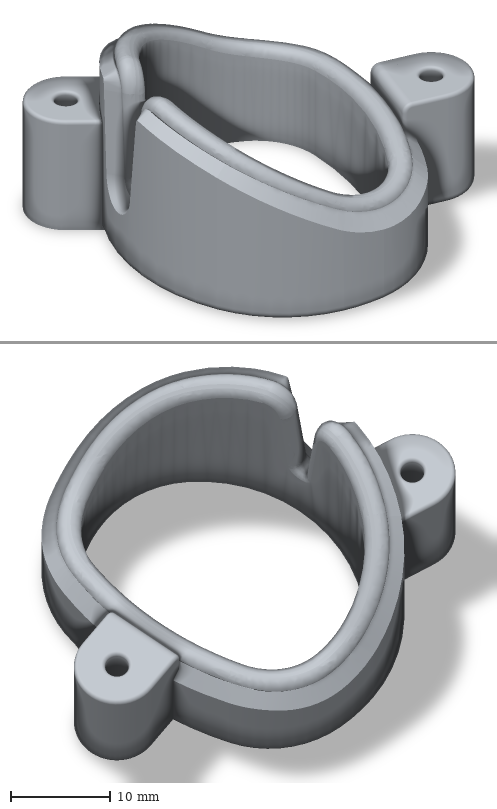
import cadquery as cq
import math

RING_HALF_WIDTH = 18.965
RING_REAR_Y = 14.4
RING_FRONT_Y = -16.8
REAR_RADIUS = 36.0
SIDE_RADIUS = 18.0
SIDE_ANGLE = 15.0
FRONT_SIDE_RADIUS = 15.5
WALL = 4.0
BOTTOM_ROUND = 0.9
BLANK_HEIGHT = 30.0

SHOULDER_WIDTH = 1.5
BEAD_HEIGHT = 1.0
BEAD_ROUND = 1.05
SHOULDER_CHAMFER = 1.5

DIP_Y, DIP_Z = 7.0, 10.92
DIP_RADIUS = 14.0
CREST_SLOPE = 30.0
SHOULDER_SLOPE = 27.7
REAR_ANGLE = 14.0
HUMP_RADIUS = 10.5
FRONT_REACH = 20.0

SLOT_TIP_RADIUS = 0.5
SLOT_TIP_Z = 7.95
SLOT_WALL_ANGLE = 6.3
SLOT_CORNER_RADIUS = 2.9
SLOT_START = 6.0
SLOT_CORNER_ZONE_MIN = (-5, -15, 15)
SLOT_CORNER_ZONE_MAX = (5, -8, 25)

LUG_RADIUS = 4.35
LUG_HEIGHT = 13.0
LUG_ROUND = 0.4
REAR_LUG_END_ROUND = 1.0
HOLE_DIAMETER = 2.38
HOLE_MOUTH_ROUND = 0.38
REAR_HOLE = (0, 17.8)
REAR_LUG_LENGTH = REAR_HOLE[1] - (RING_REAR_Y - SHOULDER_WIDTH)
FRONT_HOLE = (-10.46, -17.8)
FRONT_LUG_LENGTH = 6.0
FRONT_LUG_TILT = 22.5

CORE_RADIUS = 3.0
FRONT_CORE_SHORT_LENGTH = 1.95

SPAN = 60.0
MIN_RIM_Z = 1.0
TOLERANCE = 1e-3
BORE_CLEARANCE = 0.3


def degrees_point(center, radius, angle):
    """Point on a circle, the angle in degrees from the first axis."""
    a = math.radians(angle)
    return (center[0] + radius * math.cos(a), center[1] + radius * math.sin(a))


def mirrored(point):
    """The same point on the left half."""
    return (-point[0], point[1])


def point_beyond(center, other, radius):
    """Point at radius from center, on the line from other through center."""
    dx, dy = center[0] - other[0], center[1] - other[1]
    scale = radius / math.hypot(dx, dy)
    return (center[0] + dx * scale, center[1] + dy * scale)


def ring_prism(inset, height):
    """Solid inside the ring outline, its side moved inward by inset."""
    rear = (0, RING_REAR_Y - REAR_RADIUS)
    side = (RING_HALF_WIDTH - SIDE_RADIUS, 0)
    front_side = (RING_HALF_WIDTH - FRONT_SIDE_RADIUS, 0)

    front_depth = -RING_FRONT_Y
    front_radius = (front_depth**2 + front_side[0] ** 2 - FRONT_SIDE_RADIUS**2) / (
        2 * (front_depth - FRONT_SIDE_RADIUS)
    )
    front = (0, front_radius - front_depth)

    direction = degrees_point((0, 0), 1, SIDE_ANGLE)
    dx, dy = side[0] - rear[0], side[1] - rear[1]
    radius_step = REAR_RADIUS - SIDE_RADIUS
    shift = (dx**2 + dy**2 - radius_step**2) / (
        2 * (radius_step - direction[0] * dx - direction[1] * dy)
    )
    corner = degrees_point(side, shift, SIDE_ANGLE)
    corner_radius = SIDE_RADIUS - shift

    rear_top = (0, RING_REAR_Y - inset)
    rear_joint = point_beyond(corner, rear, corner_radius - inset)
    corner_joint = degrees_point(side, SIDE_RADIUS - inset, SIDE_ANGLE)
    widest = (RING_HALF_WIDTH - inset, 0)
    front_joint = point_beyond(front_side, front, FRONT_SIDE_RADIUS - inset)
    front_tip = (0, RING_FRONT_Y + inset)

    corner_start = math.degrees(math.atan2(rear_joint[1] - corner[1], rear_joint[0] - corner[0]))
    corner_mid = degrees_point(corner, corner_radius - inset, (corner_start + SIDE_ANGLE) / 2)
    side_mid = degrees_point(side, SIDE_RADIUS - inset, SIDE_ANGLE / 2)
    front_end = math.degrees(math.atan2(-front[1], front_side[0]))
    front_side_mid = degrees_point(front_side, FRONT_SIDE_RADIUS - inset, front_end / 2)

    return (
        cq.Workplane("XY")
        .moveTo(*mirrored(rear_joint))
        .threePointArc(rear_top, rear_joint)
        .threePointArc(corner_mid, corner_joint)
        .threePointArc(side_mid, widest)
        .threePointArc(front_side_mid, front_joint)
        .threePointArc(front_tip, mirrored(front_joint))
        .threePointArc(mirrored(front_side_mid), mirrored(widest))
        .threePointArc(mirrored(side_mid), mirrored(corner_joint))
        .threePointArc(mirrored(corner_mid), mirrored(rear_joint))
        .close()
        .extrude(height)
    )


def above_crest(drop, slope):
    """Everything above the crest line lowered by drop, as an extrusion along X."""
    dip_center = (DIP_Y, DIP_Z + DIP_RADIUS)
    dip_radius = DIP_RADIUS + drop
    hump_radius = HUMP_RADIUS - drop
    hump_center = degrees_point(dip_center, DIP_RADIUS + HUMP_RADIUS, REAR_ANGLE - 90)
    slope_start = degrees_point(dip_center, dip_radius, -90 - slope)
    dip_bottom = degrees_point(dip_center, dip_radius, -90)
    blend = degrees_point(dip_center, dip_radius, REAR_ANGLE - 90)
    hump_top = degrees_point(hump_center, hump_radius, 90)
    hump_end = degrees_point(hump_center, hump_radius, 90 - REAR_ANGLE)
    slope_rise = (slope_start[0] + FRONT_REACH) * math.tan(math.radians(slope))
    slope_end = (-FRONT_REACH, slope_start[1] + slope_rise)
    return (
        cq.Workplane("YZ")
        .moveTo(*slope_end)
        .lineTo(*slope_start)
        .threePointArc(dip_bottom, blend)
        .threePointArc(hump_top, hump_end)
        .lineTo(FRONT_REACH, hump_end[1])
        .lineTo(FRONT_REACH, SPAN)
        .lineTo(-FRONT_REACH, SPAN)
        .close()
        .extrude(SPAN / 2, both=True)
    )


def slot_cutter(widening):
    """V with a round tip, cut through the front wall along Y."""
    radius = SLOT_TIP_RADIUS + widening
    center = (0, SLOT_TIP_Z + SLOT_TIP_RADIUS)
    right_tangent = degrees_point(center, radius, -SLOT_WALL_ANGLE)
    wall_rise = BLANK_HEIGHT - right_tangent[1]
    top_x = right_tangent[0] + wall_rise * math.tan(math.radians(SLOT_WALL_ANGLE))
    return (
        cq.Workplane("XZ", origin=(0, -SLOT_START, 0))
        .moveTo(-top_x, BLANK_HEIGHT)
        .lineTo(-right_tangent[0], right_tangent[1])
        .threePointArc((0, center[1] - radius), right_tangent)
        .lineTo(top_x, BLANK_HEIGHT)
        .close()
        .extrude(FRONT_REACH - SLOT_START)
    )


def top_cutter(drop, slope):
    """Space above the crest together with the slot, rounded where the two meet."""
    crest_space = above_crest(drop, slope)
    front_half = cq.Workplane("XY").box(SPAN, FRONT_REACH - SLOT_START, 2 * SPAN)
    front_half = front_half.translate((0, -(FRONT_REACH + SLOT_START) / 2, 0))
    mouth = crest_space.intersect(front_half).union(slot_cutter(drop))
    mouth_edges = mouth.edges(cq.selectors.BoxSelector(SLOT_CORNER_ZONE_MIN, SLOT_CORNER_ZONE_MAX))
    return crest_space.union(mouth_edges.fillet(SLOT_CORNER_RADIUS - drop))


def wall_layer(outer_inset, inner_inset, drop, slope):
    """Band of the wall with shaped top and slot, both set back by drop from the crest."""
    band = ring_prism(outer_inset, BLANK_HEIGHT).cut(ring_prism(inner_inset, BLANK_HEIGHT))
    return band.cut(top_cutter(drop, slope), clean=False)


def rim_edges(band, inset):
    """Top edges of a band that lie on its upright face at the given inset."""
    wall_face = cq.Compound.makeCompound(ring_prism(inset, BLANK_HEIGHT).faces("not |Z").vals())

    def is_on_rim(edge):
        middle = cq.Vertex.makeVertex(*edge.positionAt(0.5).toTuple())
        return edge.BoundingBox().zmin > MIN_RIM_Z and middle.distance(wall_face) < TOLERANCE

    return band.edges("not |Z").filter(is_on_rim)


def make_ring():
    """Wall with a chamfered shoulder outside and a rounded bead along its crest."""
    bead = wall_layer(SHOULDER_WIDTH, WALL, 0, CREST_SLOPE)
    bead = rim_edges(bead, SHOULDER_WIDTH).add(rim_edges(bead, WALL)).fillet(BEAD_ROUND)
    shoulder = wall_layer(0, WALL - BORE_CLEARANCE, BEAD_HEIGHT, SHOULDER_SLOPE)
    shoulder = rim_edges(shoulder, 0).chamfer(SHOULDER_CHAMFER)
    return bead.union(round_bottom(shoulder))


def round_bottom(shoulder):
    """Round the outer bottom edge."""
    outer_bottom = shoulder.faces("<Z").wires(cq.selectors.LengthNthSelector(-1)).edges()
    return outer_bottom.fillet(BOTTOM_ROUND)


def tongue(radius, length):
    """Prism with a round end about the origin, its straight sides running along +Y."""
    return (
        cq.Workplane("XY")
        .moveTo(radius, 0)
        .lineTo(radius, length)
        .lineTo(-radius, length)
        .lineTo(-radius, 0)
        .threePointArc((0, -radius), (radius, 0))
        .close()
        .extrude(LUG_HEIGHT)
    )


def drill(lug):
    """Screw hole through a lug, its mouth rounded."""
    lug = lug.faces(">Z").workplane(origin=(0, 0, LUG_HEIGHT)).hole(HOLE_DIAMETER)
    mouth = lug.faces(">Z").edges("%CIRCLE").edges(cq.selectors.RadiusNthSelector(0))
    return mouth.fillet(HOLE_MOUTH_ROUND)


def place_rear(body):
    """Turn a body to point from the rear hole to the ring."""
    return body.rotate((0, 0, 0), (0, 0, 1), 180).translate((*REAR_HOLE, 0))


def place_front(body):
    """Turn a body to point from the front hole to the ring."""
    return body.rotate((0, 0, 0), (0, 0, 1), -FRONT_LUG_TILT).translate((*FRONT_HOLE, 0))


def make_rear_lug():
    """Lug with a free end above the ring shoulder."""
    lug = tongue(LUG_RADIUS, REAR_LUG_LENGTH)
    lug = lug.faces("<Z").edges("not >Y").fillet(BOTTOM_ROUND)
    lug = lug.edges(">Y and >Z").fillet(REAR_LUG_END_ROUND)
    lug = lug.faces(">Z").edges("not >Y").fillet(LUG_ROUND)
    return drill(lug)


def make_front_lug():
    """Lug whose end is buried in the ring wall."""
    lug = tongue(LUG_RADIUS, FRONT_LUG_LENGTH)
    lug = lug.faces(">Z").edges("not >Y").fillet(LUG_ROUND)
    return drill(lug)


def make_rear_core(lug):
    """Middle of the rear lug, reaching its free end."""
    return lug.intersect(place_rear(tongue(CORE_RADIUS, REAR_LUG_LENGTH)))


def make_front_core(lug):
    """Middle of the front lug: the left half stops short, the right half meets the ring's outer face."""
    left_notch = cq.Workplane("XY").rect(-SPAN, SPAN, centered=False).extrude(LUG_HEIGHT)
    left_notch = left_notch.translate((0, FRONT_CORE_SHORT_LENGTH, 0))
    core_space = place_front(tongue(CORE_RADIUS, FRONT_LUG_LENGTH).cut(left_notch))
    return lug.intersect(core_space).cut(ring_prism(0, BLANK_HEIGHT))


rear_lug = place_rear(make_rear_lug())
front_lug = place_front(make_front_lug())

rear_core = make_rear_core(rear_lug)
front_core = make_front_core(front_lug)
housing = make_ring().union(rear_lug).union(front_lug).cut(rear_core).cut(front_core)

result = cq.Compound.makeCompound([housing.val(), rear_core.val(), front_core.val()])